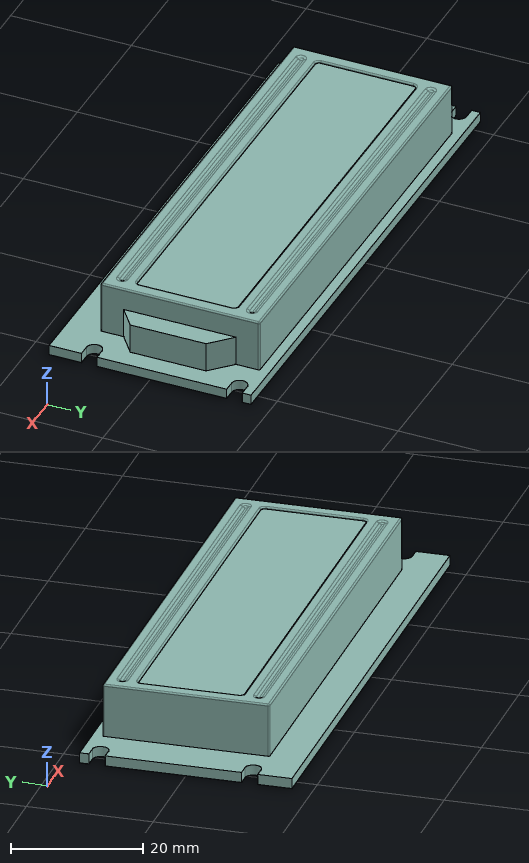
import cadquery as cq
import math

board_length = 85.0
board_width = 33.5
board_thickness = 1.7
overall_height = 10.3
slot_width = 2.55
slot_depth = 3.15
slot_spacing = 24.05
slot_center_y = 1.95

bezel_length = 71.4
bezel_width = 26.35
bezel_height = overall_height - board_thickness
bezel_x = 0.0
bezel_y = 1.95
edge_radius = 0.25

window_length = 67.0
window_width = 16.7
window_corner_radius = 0.7
window_depth = 1.7
glass_recess = 0.3
glass_thickness = window_depth - glass_recess

groove_length = 67.8
groove_width = 1.8
groove_depth = 0.3
groove_spacing = 21.5

backlight_height = 4.9
backlight_end_x = 39.2
backlight_root_y = (-7.4, 11.2)
backlight_tip_y = (-4.8, 7.8)


def make_board():
    board = cq.Workplane("XY").box(
        board_length, board_width, board_thickness, centered=(True, True, False)
    )
    slots = (
        cq.Workplane("XY")
        .rarray(board_length, slot_spacing, 2, 2)
        .slot2D(2 * slot_depth, slot_width)
        .extrude(board_thickness)
        .translate((0, slot_center_y, 0))
    )
    return board.cut(slots)


def window_block(height):
    """Rounded rectangle of the window, rising from the window floor."""
    return (
        cq.Workplane("XY", origin=(bezel_x, bezel_y, overall_height - window_depth))
        .rect(window_length, window_width)
        .extrude(height)
        .edges("|Z")
        .fillet(window_corner_radius)
    )


def groove_flank():
    """Half section of a groove, from its centre line to its rim, in the YZ plane."""
    half_width = groove_width / 2
    flank_angle = 2 * math.atan(groove_depth / half_width)
    arc_radius = half_width / 2 / math.sin(flank_angle)
    mid_y = arc_radius * math.sin(flank_angle / 2)
    mid_z = arc_radius * (1 - math.cos(flank_angle / 2))
    return (
        cq.Workplane("YZ")
        .moveTo(0, -groove_depth)
        .threePointArc((mid_y, mid_z - groove_depth), (half_width / 2, -groove_depth / 2))
        .threePointArc((half_width - mid_y, -mid_z), (half_width, 0))
        .lineTo(0, 0)
        .close()
    )


def make_groove_cutter():
    half_run = (groove_length - groove_width) / 2
    flank = groove_flank().extrude(half_run, both=True)
    cutter = flank.union(flank.mirror("XZ"), clean=False)
    end = groove_flank().revolve(360, (0, 0), (0, 1))
    for x in (-half_run, half_run):
        cutter = cutter.union(end.translate((x, 0, 0)), clean=False)
    return cutter


def make_bezel():
    bezel = (
        cq.Workplane("XY", origin=(bezel_x, bezel_y, board_thickness))
        .box(bezel_length, bezel_width, bezel_height, centered=(True, True, False))
        .edges("|Z")
        .fillet(edge_radius)
        .cut(window_block(window_depth))
        .faces(">Z")
        .edges()
        .fillet(edge_radius)
    )
    groove_cutter = make_groove_cutter()
    for side in (-1, 1):
        groove_y = bezel_y + side * groove_spacing / 2
        bezel = bezel.cut(groove_cutter.translate((bezel_x, groove_y, overall_height)), clean=False)
    return bezel


def make_glass():
    return window_block(glass_thickness)


def make_backlight():
    root_x = bezel_x + bezel_length / 2
    return (
        cq.Workplane("XY", origin=(0, 0, board_thickness))
        .polyline([
            (root_x, backlight_root_y[0]),
            (backlight_end_x, backlight_tip_y[0]),
            (backlight_end_x, backlight_tip_y[1]),
            (root_x, backlight_root_y[1]),
        ])
        .close()
        .extrude(backlight_height)
    )


board = make_board()
bezel = make_bezel()
glass = make_glass()
backlight = make_backlight()

result = cq.Compound.makeCompound([
    board.solids().val(),
    bezel.solids().val(),
    glass.solids().val(),
    backlight.solids().val(),
])